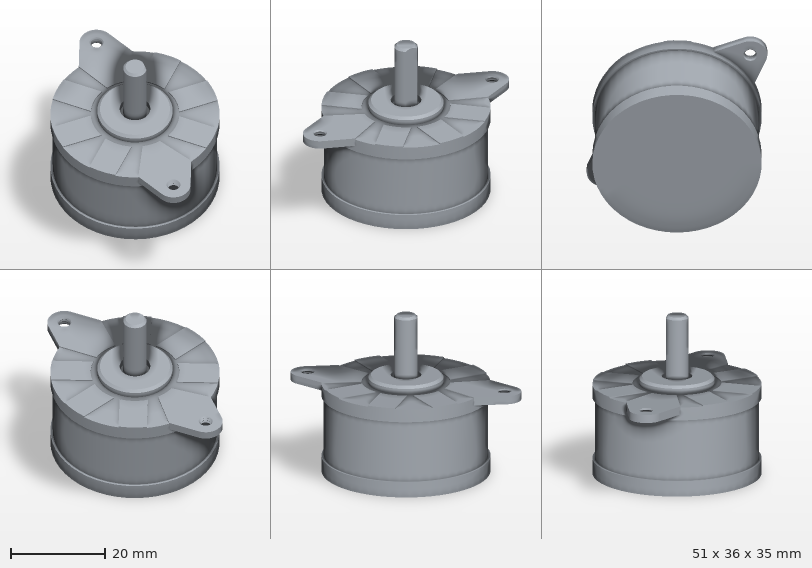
import cadquery as cq
import math

base_flange_top = 3.4
top_flange_bottom = 16.9
mount_top = 20.0
boss_top = 21.5
shaft_top = 35.0

flange_diameter = 36.0
can_diameter = 35.0
boss_diameter = 16.0
boss_chamfer = 0.55
shaft_pocket_diameter = 6.55
shaft_pocket_depth = 1.55
pocket_floor = boss_top - shaft_pocket_depth

overall_length = 51.0
ear_end_radius = 3.6
ear_thickness = 1.8
ear_root_half_width = 6.05
ear_hole_x = overall_length / 2 - ear_end_radius

recess_depth = 0.25
recess_inner_radius = 9.45
pad_width = 6.0
pad_angles = (45, 90, 135)
left_ear_inner_half_width = 2.75
right_ear_inner_half_width = 2.0

groove_minor_radius = 1.2
groove_major_radius = 1.5
groove_count = 3
groove_pitch = ear_thickness / groove_count

shaft_diameter = 5.0
shaft_chamfer = 0.5
shaft_flat_offset = 2.05
shaft_bottom = top_flange_bottom


def cylinder(diameter, bottom, top):
    return cq.Workplane("XY").workplane(offset=bottom).circle(diameter / 2).extrude(top - bottom)


def on_flange_circle(half_width):
    """Distance from the axis at which a strip of this half width meets the flange circle."""
    return math.sqrt((flange_diameter / 2) ** 2 - half_width**2)


def on_recess_circle(half_width):
    """Distance from the axis at which a strip of this half width meets the recess circle."""
    return math.sqrt(recess_inner_radius**2 - half_width**2)


def make_ears():
    """Both ears as one bar across the housing, with straight sides tangent to the round ends."""
    root_x = on_flange_circle(ear_root_half_width)
    dx = root_x - ear_hole_x
    root_distance = math.hypot(dx, ear_root_half_width)
    tangent_angle = math.atan2(ear_root_half_width, dx) - math.acos(ear_end_radius / root_distance)
    tangent_x = ear_hole_x + ear_end_radius * math.cos(tangent_angle)
    tangent_y = ear_end_radius * math.sin(tangent_angle)
    tip_x = overall_length / 2
    return (
        cq.Workplane("XY")
        .workplane(offset=mount_top - ear_thickness)
        .moveTo(-root_x, ear_root_half_width)
        .lineTo(root_x, ear_root_half_width)
        .lineTo(tangent_x, tangent_y)
        .threePointArc((tip_x, 0), (tangent_x, -tangent_y))
        .lineTo(root_x, -ear_root_half_width)
        .lineTo(-root_x, -ear_root_half_width)
        .lineTo(-tangent_x, -tangent_y)
        .threePointArc((-tip_x, 0), (-tangent_x, tangent_y))
        .close()
        .extrude(ear_thickness)
    )


def make_ear_pad(side, inner_half_width):
    """Raised area that carries an ear inward to the recess circle; side is -1 or 1."""
    inner_x = side * on_recess_circle(inner_half_width)
    root_x = side * on_flange_circle(ear_root_half_width)
    tip_x = side * overall_length / 2
    return (
        cq.Workplane("XY")
        .workplane(offset=mount_top - recess_depth)
        .moveTo(0, inner_half_width)
        .lineTo(inner_x, inner_half_width)
        .lineTo(root_x, ear_root_half_width)
        .lineTo(tip_x, ear_root_half_width)
        .lineTo(tip_x, -ear_root_half_width)
        .lineTo(root_x, -ear_root_half_width)
        .lineTo(inner_x, -inner_half_width)
        .lineTo(0, -inner_half_width)
        .close()
        .extrude(recess_depth)
    )


def make_recess():
    """Shallow layer removed from the top face, leaving the pads and ears standing."""
    layer_bottom = mount_top - recess_depth
    pads = make_ear_pad(-1, left_ear_inner_half_width).union(make_ear_pad(1, right_ear_inner_half_width))
    for angle in pad_angles:
        bar = (
            cq.Workplane("XY")
            .workplane(offset=layer_bottom)
            .rect(flange_diameter, pad_width)
            .extrude(recess_depth)
            .rotate((0, 0, 0), (0, 0, 1), angle)
        )
        pads = pads.union(bar)
    pads = pads.cut(cylinder(2 * recess_inner_radius, layer_bottom, mount_top))
    return cylinder(flange_diameter, layer_bottom, mount_top).cut(pads)


def make_ear_hole(x):
    """Through hole whose wall is a stack of V-shaped ring grooves, widest at both faces."""
    bottom = mount_top - ear_thickness
    profile = cq.Workplane("XZ").moveTo(0, bottom).lineTo(groove_major_radius, bottom)
    for index in range(groove_count):
        groove_bottom = bottom + index * groove_pitch
        profile = profile.lineTo(groove_minor_radius, groove_bottom + groove_pitch / 2)
        profile = profile.lineTo(groove_major_radius, groove_bottom + groove_pitch)
    hole = profile.lineTo(0, mount_top).close().revolve(360, (0, 0, 0), (0, 1, 0))
    return hole.translate((x, 0, 0))


def make_housing():
    body = cylinder(can_diameter, 0, mount_top)
    body = body.union(cylinder(flange_diameter, 0, base_flange_top))
    body = body.union(cylinder(flange_diameter, top_flange_bottom, mount_top))
    body = body.union(make_ears())
    body = body.cut(make_recess())
    boss = cylinder(boss_diameter, top_flange_bottom, boss_top).faces(">Z").chamfer(boss_chamfer)
    body = body.union(boss)
    body = body.cut(cylinder(shaft_pocket_diameter, pocket_floor, boss_top))
    body = body.cut(cylinder(shaft_diameter, shaft_bottom, pocket_floor))
    for side in (-1, 1):
        body = body.cut(make_ear_hole(side * ear_hole_x))
    return body


def make_shaft():
    """Round shaft with a chamfered tip and a flat on its +Y side above the pocket floor."""
    shaft = cylinder(shaft_diameter, shaft_bottom, shaft_top).faces(">Z").chamfer(shaft_chamfer)
    flat_cutter = (
        cq.Workplane("XY")
        .workplane(offset=pocket_floor)
        .center(0, shaft_flat_offset + shaft_diameter / 2)
        .rect(shaft_diameter, shaft_diameter)
        .extrude(shaft_top - pocket_floor)
    )
    return shaft.cut(flat_cutter)


housing = make_housing()
shaft = make_shaft()
result = cq.Compound.makeCompound([housing.val(), shaft.val()])